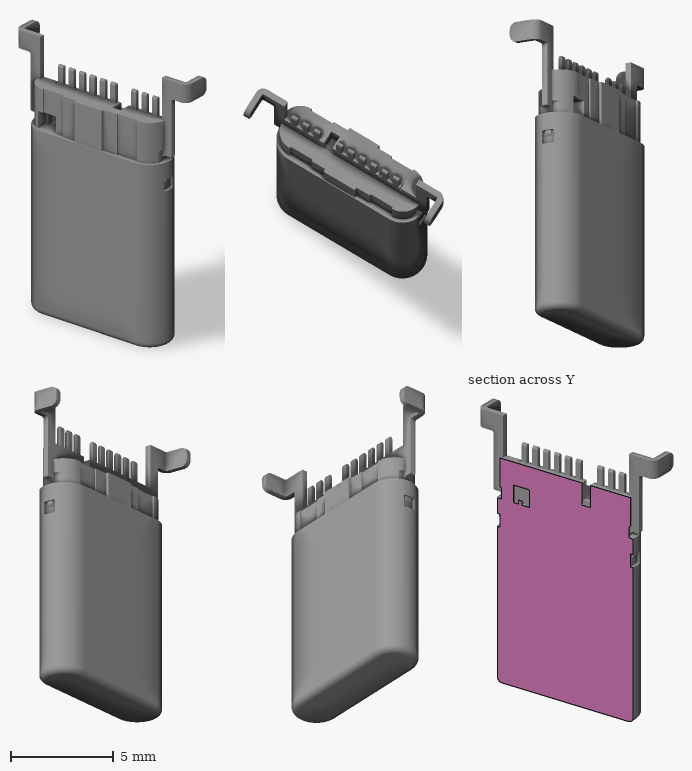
import cadquery as cq

part_depth = 2.65
part_top = 14.45

shell_width = 8.27
shell_depth = 2.44
shell_top = 9.98
shell_bottom_fillet = 0.3

housing_width = 7.95
housing_depth = 2.05
housing_front_top = 12.18
housing_back_top = 11.3
front_pad_half_width = 0.85
back_pad_half_width = 0.9
center_pad_depth = 2.35
recess_inner_x = 1.68
recess_outer_x = 2.93
recess_depth = 0.09
end_notch_x = 3.85
end_notch_half_width = 0.49
end_notch_top = 10.65
end_notch_chamfer = 0.12

pocket_left = -3.27
pocket_step_x = -3.09
pocket_right = -2.17
pocket_top = 10.91
pocket_shallow_y = -0.36
pocket_deep_y = -0.12
peg_left = -2.83
peg_right = -2.6
peg_front_y = -0.36
peg_height = 0.23
peg_chamfer = 0.06
bead_radius = 0.23
bead_front_y = -0.19

pin_pitch = 0.65
pin_positions = [-4, -3, -2, -1, 0, 1, 3, 4, 5]
pin_width = 0.32
pin_thickness = 0.2
pin_top = 13.21
pin_tip_inset = 0.05
pin_tip_height = 0.1

slot_center_x = 1.27
slot_width = 0.49
slot_front_y = -0.55
slot_back_floor = 11.2
slot_front_floor = 10.98

slit_centers = [-2.89, -1.68]
slit_width = 0.05
slit_length = 0.3
slit_depth = 0.29

leg_thickness = 0.3
leg_inner_x = 3.79
leg_outer_x = 4.38
leg_bottom = 10.29
leg_bottom_fillet = 0.07
tab_half_span = 5.35
tab_tip_y = part_depth - shell_depth / 2
tab_bottom = 13.45
tab_corner_radius = 0.35
tab_bend_radius = 0.39
tab_inner_bend_radius = tab_bend_radius - leg_thickness
leg_corner_fillet = 0.12

window_size = 0.68
window_center_z = 8.77
window_corner_radius = 0.09
barb_x = 4.05
barb_slope_top = 8.93
barb_bottom = 8.81

split_y = leg_thickness / 2


def box(x0, x1, y0, y1, z0, z1):
    """Box between two opposite corners."""
    return cq.Workplane("XY").box(x1 - x0, y1 - y0, z1 - z0, centered=False).translate((x0, y0, z0))


def both_ends(solid):
    """The solid together with its mirror image at the opposite X end."""
    return solid.union(solid.mirror("YZ"))


def stadium(width, depth, z0, z1):
    """Upright prism with a round-ended outline."""
    return cq.Workplane("XY").workplane(offset=z0).slot2D(width, depth).extrude(z1 - z0)


def make_shell():
    shell = stadium(shell_width, shell_depth, 0, shell_top)
    return shell.faces("<Z").edges().fillet(shell_bottom_fillet)


def make_window():
    """Cutter for the latch window at the +X end: it bares the housing and a sloped barb on it."""
    half_size = window_size / 2
    inner_x = end_notch_x
    bottom = window_center_z - half_size
    top = window_center_z + half_size
    window = box(inner_x, shell_width / 2, -half_size, half_size, bottom, top)
    window = window.edges("|X").fillet(window_corner_radius)
    window = window.cut(stadium(housing_width, housing_depth, bottom, top))
    barb = (
        cq.Workplane("XZ")
        .moveTo(inner_x, top)
        .lineTo(barb_x, top)
        .lineTo(barb_x, barb_slope_top)
        .lineTo(housing_width / 2, barb_bottom)
        .lineTo(inner_x, barb_bottom)
        .close()
        .extrude(leg_thickness / 2, both=True)
    )
    return window.cut(barb)


def make_housing():
    half_depth = housing_depth / 2
    housing = stadium(housing_width, housing_depth, shell_top, housing_front_top)
    housing = housing.union(box(-front_pad_half_width, front_pad_half_width,
                                -center_pad_depth / 2, 0, shell_top, housing_front_top))
    housing = housing.union(box(-back_pad_half_width, back_pad_half_width,
                                0, center_pad_depth / 2, shell_top, housing_front_top))

    recess = box(recess_inner_x, recess_outer_x, half_depth - recess_depth, half_depth,
                 shell_top, housing_front_top)
    recesses = both_ends(recess.union(recess.mirror("XZ")))
    housing = housing.cut(recesses)

    housing = housing.cut(box(-housing_width, housing_width, split_y, housing_depth,
                              housing_back_top, housing_front_top))

    notch = (
        cq.Workplane("XZ")
        .moveTo(end_notch_x, shell_top)
        .lineTo(housing_width / 2, shell_top)
        .lineTo(housing_width / 2, end_notch_top)
        .lineTo(end_notch_x, end_notch_top - end_notch_chamfer)
        .close()
        .extrude(end_notch_half_width, both=True)
    )
    return housing.cut(both_ends(notch))


def make_pocket():
    """Stepped pocket that opens on the front face, just above the shell."""
    deep = box(pocket_step_x, pocket_right, -shell_depth / 2, pocket_deep_y, shell_top, pocket_top)
    shallow = box(pocket_left, pocket_step_x, -shell_depth / 2, pocket_shallow_y, shell_top, pocket_top)
    peg = box(peg_left, peg_right, peg_front_y, pocket_deep_y, shell_top, shell_top + peg_height)
    peg = peg.faces(">Z").edges("<Y or |Y").chamfer(peg_chamfer)
    bead = (
        cq.Workplane("XZ", origin=(pocket_right, pocket_deep_y, shell_top))
        .circle(bead_radius)
        .extrude(pocket_deep_y - bead_front_y)
    )
    return deep.union(shallow).cut(peg).cut(bead)


def make_slot():
    """Two-level slot that opens through the back of the front half."""
    x0 = slot_center_x - slot_width / 2
    x1 = slot_center_x + slot_width / 2
    back = box(x0, x1, -split_y, split_y, slot_back_floor, housing_front_top)
    front = box(x0, x1, slot_front_y, -split_y, slot_front_floor, housing_front_top)
    return back.union(front)


def make_slit(x):
    return box(x - slit_width / 2, x + slit_width / 2, split_y - slit_length, split_y,
               housing_front_top - slit_depth, housing_front_top)


def make_pin(x):
    """Flat pin with its tip tapered on the two broad sides."""
    back = split_y
    front = split_y - pin_thickness
    shoulder = pin_top - pin_tip_height
    return (
        cq.Workplane("YZ")
        .polyline([
            (front, shell_top),
            (back, shell_top),
            (back, shoulder),
            (back - pin_tip_inset, pin_top),
            (front + pin_tip_inset, pin_top),
            (front, shoulder),
        ])
        .close()
        .extrude(pin_width / 2, both=True)
        .translate((x, 0, 0))
    )


def make_leg():
    """Leg at the +X end: an upright strip whose top turns outward and bends to the back."""
    strip = (
        cq.Workplane("XZ")
        .moveTo(leg_inner_x, shell_top)
        .lineTo(leg_outer_x, shell_top)
        .lineTo(leg_outer_x, tab_bottom)
        .lineTo(tab_half_span, tab_bottom)
        .lineTo(tab_half_span, part_top)
        .lineTo(leg_inner_x, part_top)
        .close()
        .extrude(leg_thickness / 2, both=True)
    )
    strip = strip.edges(cq.selectors.NearestToPointSelector((leg_outer_x, 0, tab_bottom)))
    strip = strip.fillet(leg_corner_fillet)
    tab = box(tab_half_span - leg_thickness, tab_half_span, -split_y, tab_tip_y, tab_bottom, part_top)
    tab = tab.faces(">Y").edges("|X").fillet(tab_corner_radius)
    leg = strip.union(tab)
    middle = (tab_bottom + part_top) / 2
    outer_bend = cq.selectors.NearestToPointSelector((tab_half_span, -split_y, middle))
    inner_bend = cq.selectors.NearestToPointSelector((tab_half_span - leg_thickness, split_y, middle))
    leg = leg.edges(outer_bend).fillet(tab_bend_radius)
    return leg.edges(inner_bend).fillet(tab_inner_bend_radius)


def make_leg_undercut():
    """Cutter under the +X leg: it lifts the leg off the shell and curves down into the housing."""
    radius = leg_bottom - shell_top
    return (
        cq.Workplane("XZ")
        .moveTo(leg_inner_x, shell_top)
        .radiusArc((leg_inner_x + radius, leg_bottom), radius)
        .lineTo(leg_outer_x, leg_bottom)
        .lineTo(leg_outer_x, shell_top)
        .close()
        .extrude(leg_thickness / 2, both=True)
    )


housing = make_housing().cut(make_pocket()).cut(make_slot())
for slit_x in slit_centers:
    housing = housing.cut(make_slit(slit_x))

upper_part = housing.union(both_ends(make_leg())).cut(both_ends(make_leg_undercut()))
for foot_x in (-leg_outer_x, leg_outer_x):
    foot_edge = cq.selectors.NearestToPointSelector((foot_x, 0, leg_bottom))
    upper_part = upper_part.edges(foot_edge).fillet(leg_bottom_fillet)
for position in pin_positions:
    upper_part = upper_part.union(make_pin(position * pin_pitch))

result = make_shell().cut(both_ends(make_window())).union(upper_part)